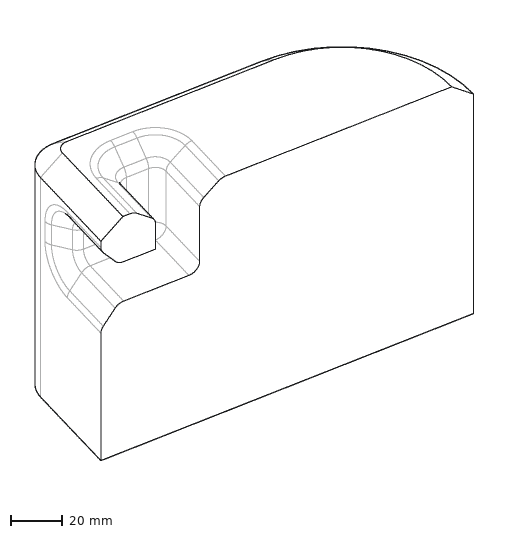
import cadquery as cq

width = 60.0
length = 170.0
height = 119.8
back_radius = width
front_radius = 15.0
bevel_inset = 10.0
bevel_drop = 8.2

channel_half_span = 30.0
channel_opening = 20.0
channel_radius = 5.0
channel_front = 25.0
channel_below_top = 23.1

flare_inset = 10.0
flare_depth = 8.0
lip_radius = 5.0

channel_left = width - channel_half_span
channel_back = channel_front + channel_opening
channel_roof = height - channel_below_top
channel_floor = channel_roof - channel_opening

overrun = 8.5
tolerance = 0.2


def make_body():
    body = (
        cq.Workplane("XY")
        .moveTo(width, 0)
        .lineTo(front_radius, 0)
        .radiusArc((0, front_radius), front_radius)
        .lineTo(0, length - back_radius)
        .radiusArc((width, length), back_radius)
        .close()
        .extrude(height)
    )
    return body.faces(">Z").edges("not(>X)").chamfer(bevel_drop, bevel_inset)


def make_channel():
    """L profile extruded along X, with its -X rim and its outer elbow rounded."""
    profile = [
        (-overrun, channel_floor),
        (channel_back, channel_floor),
        (channel_back, height + overrun),
        (channel_front, height + overrun),
        (channel_front, channel_roof),
        (-overrun, channel_roof),
    ]
    channel = (
        cq.Workplane("YZ", origin=(channel_left, 0, 0))
        .polyline(profile)
        .close()
        .extrude(channel_half_span + overrun)
    )
    elbow_point = (width, channel_back, channel_floor)
    elbow = channel.edges("|X").edges(cq.selectors.NearestToPointSelector(elbow_point))
    rim = channel.faces("<X").edges("not(<Y or >Z)")
    return rim.add(elbow).fillet(channel_radius)


def mouth_section(growth):
    """Channel cross-section, mirrored about the +X face and grown on every side."""
    span = 2 * (channel_half_span + growth)
    opening = channel_opening + 2 * growth
    return cq.Sketch().rect(span, opening).vertices().fillet(channel_radius + growth)


def make_flare(face_plane, low_side, depth):
    """Funnel from the widened mouth on the face down to the plain channel section."""
    mouth = mouth_section(flare_inset)
    throat = mouth_section(0).moved(cq.Location(cq.Vector(0, 0, -depth)))
    middle = low_side + channel_opening / 2
    return face_plane.center(width, middle).placeSketch(mouth, throat).loft()


def round_lip(part, low_corner, high_corner, radius):
    """Fillet the edges that lie wholly between the two corners."""
    margin = cq.Vector(tolerance, tolerance, tolerance)
    low = cq.Vector(*low_corner) - margin
    high = cq.Vector(*high_corner) + margin
    box = cq.selectors.BoxSelector(low.toTuple(), high.toTuple(), boundingbox=True)
    return part.edges(box).fillet(radius)


def round_top_lips(part):
    for growth, z in ((flare_inset, height), (0, height - flare_depth)):
        low = (channel_left - growth, channel_front - growth, z)
        high = (width, channel_back + growth, z)
        part = round_lip(part, low, high, lip_radius)
    return part


def round_front_lips(part):
    for growth, y in ((flare_inset, 0), (0, flare_depth)):
        low = (channel_left - growth, y, channel_floor - growth)
        high = (width, y, channel_roof + growth)
        part = round_lip(part, low, high, lip_radius)
    return part


top_face = cq.Workplane("XY", origin=(0, 0, height))
front_face = cq.Workplane("XZ")

body = make_body().cut(make_channel())
body = body.cut(make_flare(top_face, channel_front, flare_depth))
body = body.cut(make_flare(front_face, channel_floor, flare_depth))
result = round_front_lips(round_top_lips(body))